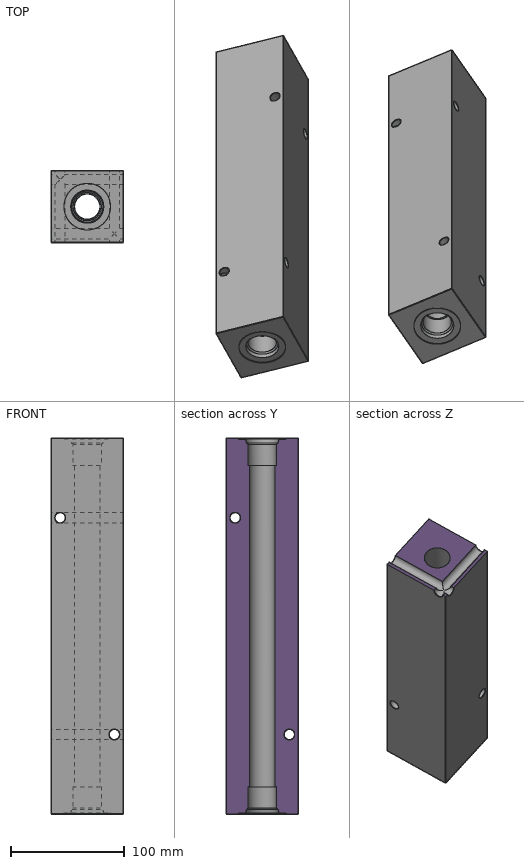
import cadquery as cq

bar_width = 63.5
bar_length = 330.2
edge_chamfer = 0.5

spotface_diameter = 41.0
spotface_depth = 1.0
seat_mouth_diameter = 29.0
seat_base_diameter = 27.5
seat_depth = 3.3
thread_diameter = 24.8
thread_chamfer_depth = (seat_base_diameter - thread_diameter) / 2
thread_depth = 23.0
bore_diameter = 22.0

mount_diameter = 9.0
mount_chamfer = 0.3
mount_edge_distance = 8.0
mount_end_distance = 70.0
mount_offset = bar_width / 2 - mount_edge_distance
mount_height = bar_length / 2 - mount_end_distance


def end_port():
    """Port cutter for the top end, revolved from its half profile."""
    top = bar_length / 2
    seat_top = top - spotface_depth
    seat_base = seat_top - seat_depth
    thread_top = seat_base - thread_chamfer_depth
    thread_base = seat_top - thread_depth
    return (
        cq.Workplane("XZ")
        .moveTo(0, top)
        .lineTo(spotface_diameter / 2, top)
        .lineTo(spotface_diameter / 2, seat_top)
        .lineTo(seat_mouth_diameter / 2, seat_top)
        .lineTo(seat_base_diameter / 2, seat_base)
        .lineTo(thread_diameter / 2, thread_top)
        .lineTo(thread_diameter / 2, thread_base)
        .lineTo(0, thread_base)
        .close()
        .revolve(360, (0, 0, 0), (0, 1, 0))
    )


def mounting_holes(plane, high_side):
    """Two diagonally placed through holes; high_side is the sign of the upper hole's offset."""
    upper = (high_side * mount_offset, mount_height)
    lower = (-high_side * mount_offset, -mount_height)
    return (
        cq.Workplane(plane)
        .pushPoints([upper, lower])
        .circle(mount_diameter / 2)
        .extrude(bar_width, both=True)
    )


bar = cq.Workplane("XY").box(bar_width, bar_width, bar_length).edges().chamfer(edge_chamfer)

bar = bar.cut(mounting_holes("XZ", -1)).cut(mounting_holes("YZ", 1))
bar = bar.faces("<X or >X or <Y or >Y").edges("%CIRCLE").chamfer(mount_chamfer)

bore = cq.Workplane("XY").circle(bore_diameter / 2).extrude(bar_length, both=True)
top_port = end_port()
bottom_port = top_port.mirror("XY")

result = bar.cut(bore).cut(top_port).cut(bottom_port)